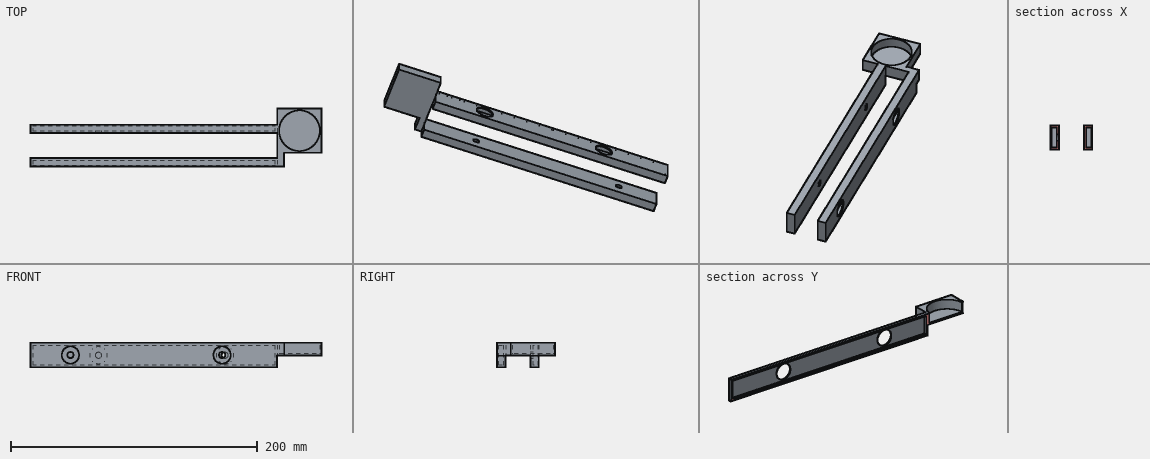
import cadquery as cq

arm_length = 200.0
arm_thickness = 7.0
arm_height = 20.0
arm_gap = 20.0
rear_arm_y = arm_thickness + arm_gap

head_side = 36.0
head_thickness = 10.5
head_front_y = 11.0
head_bottom_z = arm_height - head_thickness
pocket_diameter = 33.0
pocket_depth = 8.5
head_center_x = arm_length + head_side / 2
head_center_y = head_front_y + head_side / 2

tab_length = 5.5

channel_wall = 2.0
channel_skin = 1.0
channel_length = arm_length - 2 * channel_wall
channel_width = arm_thickness - channel_wall - channel_skin
channel_height = arm_height - 2 * channel_wall

hole_z = arm_height / 2
screw_hole_diameter = 5.0
access_hole_diameter = 14.0
front_hole_xs = (32.5, 155.3)
rear_hole_xs = (55.0, 157.5)


def block(x, y, z, length, width, height):
    """Box with its lowest corner at (x, y, z)."""
    return cq.Workplane("XY").box(length, width, height, centered=False).translate((x, y, z))


def cylinder_along_y(x, y, diameter, depth):
    """Cylinder at screw height running from y toward +Y."""
    axis_start = cq.Vector(x, y, hole_z)
    axis_direction = cq.Vector(0, 1, 0)
    return cq.Solid.makeCylinder(diameter / 2, depth, axis_start, axis_direction)


def make_body():
    front_arm = block(0, 0, 0, arm_length, arm_thickness, arm_height)
    rear_arm = block(0, rear_arm_y, 0, arm_length, arm_thickness, arm_height)
    head = block(arm_length, head_front_y, head_bottom_z, head_side, head_side, head_thickness)
    tab = block(arm_length, 0, head_bottom_z, tab_length, head_front_y, head_thickness)
    return front_arm.union(tab).union(head).union(rear_arm)


def cut_pocket(body):
    pocket = (
        cq.Workplane("XY", origin=(head_center_x, head_center_y, arm_height - pocket_depth))
        .circle(pocket_diameter / 2)
        .extrude(pocket_depth)
    )
    return body.cut(pocket)


def hollow_arm(body, inner_wall_y, channel_y, outer_skin_y, hole_xs):
    """Cut the channel of one arm and its holes; each y is the low side of that layer."""
    body = body.cut(
        block(channel_wall, channel_y, channel_wall, channel_length, channel_width, channel_height)
    )
    for x in hole_xs:
        body = body.cut(cylinder_along_y(x, inner_wall_y, screw_hole_diameter, channel_wall))
        body = body.cut(cylinder_along_y(x, outer_skin_y, access_hole_diameter, channel_skin))
    return body


def hollow_front_arm(body):
    return hollow_arm(
        body,
        inner_wall_y=arm_thickness - channel_wall,
        channel_y=channel_skin,
        outer_skin_y=0,
        hole_xs=front_hole_xs,
    )


def hollow_rear_arm(body):
    return hollow_arm(
        body,
        inner_wall_y=rear_arm_y,
        channel_y=rear_arm_y + channel_wall,
        outer_skin_y=rear_arm_y + arm_thickness - channel_skin,
        hole_xs=rear_hole_xs,
    )


result = make_body()
result = cut_pocket(result)
result = hollow_front_arm(result)
result = hollow_rear_arm(result)